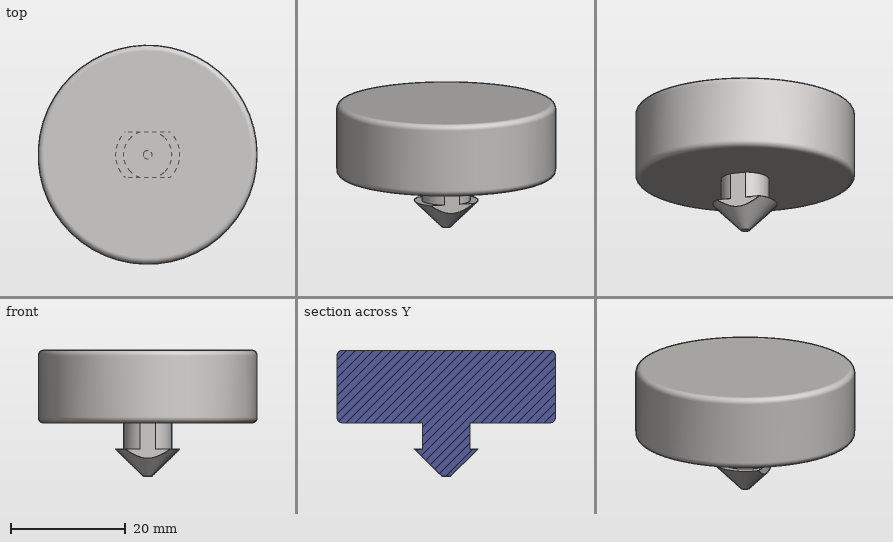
import cadquery as cq

head_diameter = 38.1
head_height = 12.7
edge_radius = 1.0

stem_diameter = 8.4
stem_length = 4.55
barb_diameter = 11.13
tip_diameter = 1.5
overall_height = 21.95
barb_length = overall_height - head_height - stem_length
peg_thickness = 7.92


def make_head():
    """Disc standing on Z = 0 with both rims rounded."""
    disc = cq.Workplane("XY").circle(head_diameter / 2).extrude(head_height)
    return disc.faces("<Z or >Z").edges().fillet(edge_radius)


def make_peg():
    """Stem and conical barb, trimmed by two flats facing -Y and +Y."""
    barb_top = -stem_length
    tip = barb_top - barb_length
    profile = [
        (0, 0),
        (stem_diameter / 2, 0),
        (stem_diameter / 2, barb_top),
        (barb_diameter / 2, barb_top),
        (tip_diameter / 2, tip),
        (0, tip),
    ]
    turned = cq.Workplane("XZ").polyline(profile).close().revolve(360, (0, 0), (0, 1))
    flat_limits = cq.Workplane("XY").box(
        barb_diameter, peg_thickness, stem_length + barb_length, centered=(True, True, False)
    ).translate((0, 0, tip))
    return turned.intersect(flat_limits)


result = make_head().union(make_peg())